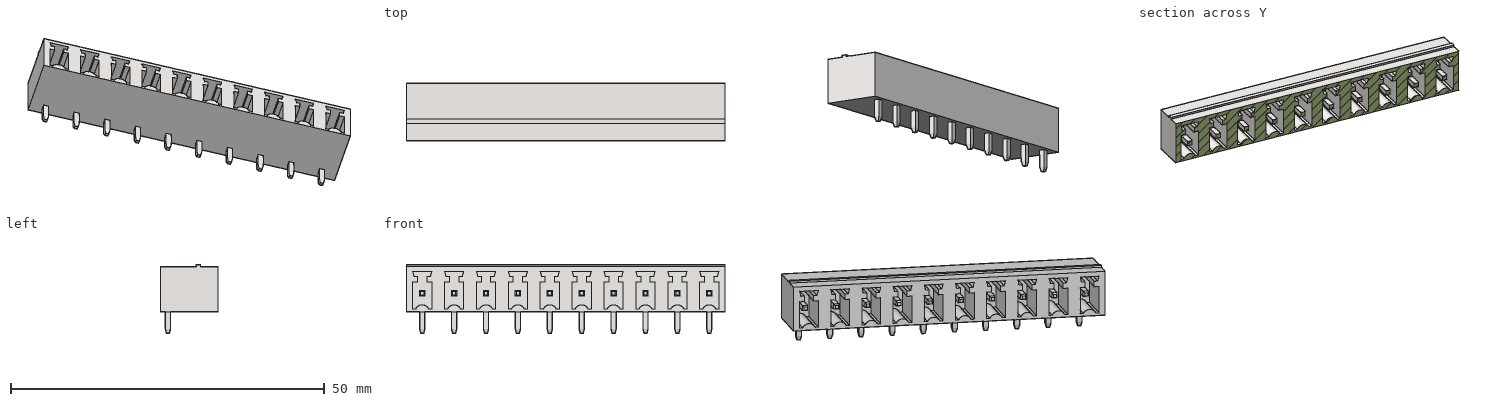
import cadquery as cq

pole_count = 10
pitch = 5.08

housing_length = pole_count * pitch
housing_depth = 9.2
rib_height = 0.3
rib_top_z = 7.5
housing_height = rib_top_z - rib_height

rib_front = 2.8
rib_width = 0.7

cavity_depth = 7.2
cavity_width = 3.05
floor_z = 0.45
shoulder_z = 4.75
ledge_z = 5.65
ceiling_z = 6.45
neck_width = 1.5
ledge_width = 2.6
hump_width = 2.05
hump_height = 0.65

pin_size = 0.85
contact_z = 2.95
contact_setback = 2.5
contact_tip_length = 0.5
leg_setback = 1.2
leg_length = 3.45
leg_tip_length = 0.7
tip_size = 0.5

leg_y = housing_depth - leg_setback


def make_housing():
    block = cq.Workplane("XY").box(
        housing_length, housing_depth, housing_height, centered=(True, False, False)
    )
    rib = (
        cq.Workplane("XY", origin=(0, rib_front, housing_height))
        .box(housing_length, rib_width, rib_height, centered=(True, False, False))
    )
    return block.union(rib)


def make_cavity(pole_x):
    """Keyed plug opening with a dovetail head and a rounded hump on its floor."""
    half_width = cavity_width / 2
    half_neck = neck_width / 2
    half_ledge = ledge_width / 2
    half_hump = hump_width / 2
    return (
        cq.Workplane("XZ", origin=(pole_x, 0, 0))
        .moveTo(-half_hump, floor_z)
        .threePointArc((0, floor_z + hump_height), (half_hump, floor_z))
        .lineTo(half_width, floor_z)
        .lineTo(half_width, shoulder_z)
        .lineTo(half_neck, shoulder_z)
        .lineTo(half_neck, ledge_z)
        .lineTo(half_ledge, ledge_z)
        .lineTo(half_width, ceiling_z)
        .lineTo(-half_width, ceiling_z)
        .lineTo(-half_ledge, ledge_z)
        .lineTo(-half_neck, ledge_z)
        .lineTo(-half_neck, shoulder_z)
        .lineTo(-half_width, shoulder_z)
        .lineTo(-half_width, floor_z)
        .close()
        .extrude(-cavity_depth)
    )


def make_pin_arm(plane, length, tip_length):
    """Square bar along the plane normal that tapers to a smaller square tip."""
    shank_length = length - tip_length
    shank = cq.Workplane(plane).rect(pin_size, pin_size).extrude(shank_length)
    tip = (
        shank.faces(cq.selectors.DirectionMinMaxSelector(plane.zDir))
        .workplane()
        .rect(pin_size, pin_size)
        .workplane(offset=tip_length)
        .rect(tip_size, tip_size)
        .loft(combine=False)
    )
    return shank.union(tip)


def make_pin(pole_x):
    """L-shaped pin: a contact facing the cavity mouth and a solder leg pointing down."""
    bend = (pole_x, leg_y, contact_z)
    contact_plane = cq.Plane(origin=bend, xDir=(1, 0, 0), normal=(0, -1, 0))
    leg_plane = cq.Plane(origin=bend, xDir=(1, 0, 0), normal=(0, 0, -1))
    contact = make_pin_arm(contact_plane, leg_y - contact_setback, contact_tip_length)
    leg = make_pin_arm(leg_plane, contact_z + leg_length, leg_tip_length)
    return contact.union(leg)


first_pole_x = -(pole_count - 1) * pitch / 2
pole_positions = [first_pole_x + index * pitch for index in range(pole_count)]

result = make_housing()
for pole_x in pole_positions:
    result = result.cut(make_cavity(pole_x))
for pole_x in pole_positions:
    result = result.union(make_pin(pole_x))